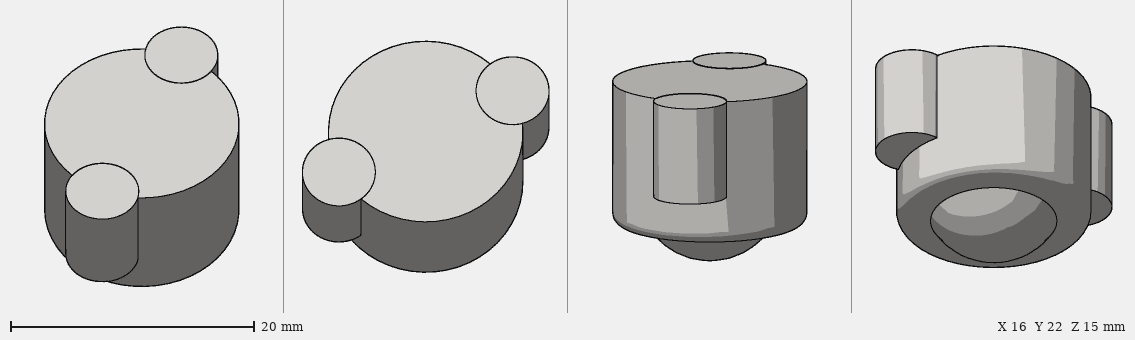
import cadquery as cq

overall_length = 22.0
overall_height = 15.0
body_diameter = 16.0
bottom_fillet = 1.0
pin_height = 8.0
pin_rise = 0.05
ball_diameter = 12.01
ball_protrusion = 3.0

body_radius = body_diameter / 2
pin_diameter = overall_length - body_diameter
pin_radius = pin_diameter / 2
pin_top = overall_height - ball_protrusion
body_height = pin_top - pin_rise
ball_radius = ball_diameter / 2
ball_center_z = ball_radius - ball_protrusion


def make_body():
    """Upright cylinder with a rounded bottom edge."""
    return (
        cq.Workplane("XY")
        .circle(body_radius)
        .extrude(body_height)
        .faces("<Z")
        .edges()
        .fillet(bottom_fillet)
    )


def make_pin(side):
    """Side pin centred on the body wall, at +Y (side = 1) or -Y (side = -1)."""
    return (
        cq.Workplane("XY", origin=(0, side * body_radius, pin_top - pin_height))
        .circle(pin_radius)
        .extrude(pin_height)
    )


def make_ball():
    """Ball partly sunk into the body bottom."""
    return cq.Workplane("XY", origin=(0, 0, ball_center_z)).sphere(ball_radius)


result = make_body().union(make_ball())
for side in (-1, 1):
    result = result.union(make_pin(side))